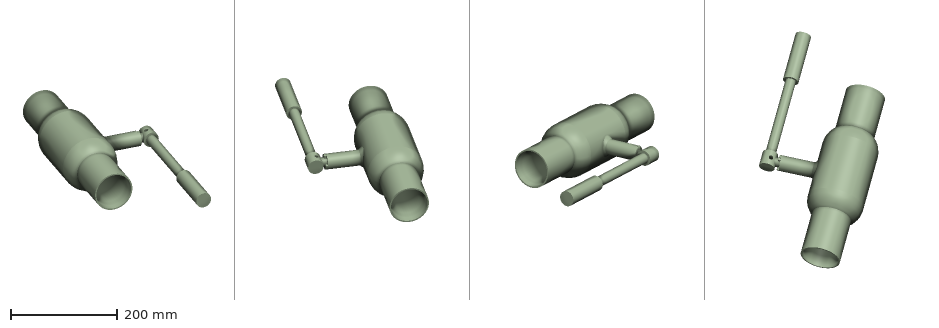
import cadquery as cq

pipe_length = 359.5
pipe_diameter = 76.0
bore_diameter = 70.5
body_diameter = 108.0
body_length = 180.5
barrel_length = 116.5
shoulder_length = (body_length - barrel_length) / 2
shoulder_drop = (body_diameter - pipe_diameter) / 2

housing_diameter = 30.0
housing_top = 124.5
collar_top = 57.5
collar_height = 13.5
collar_growth = 11.0
stem_diameter = 18.0
stop_notch_depth = 4.0
stop_overrun = 3.0
stop_pin_diameter = 5.0
stop_pin_reach = 14.5

overall_length = 455.0
overall_width = 213.0
head_diameter = 30.0
head_length = 30.0
rod_diameter = 20.0
grip_length = 99.5
grip_diameter = 30.0
head_hole_diameter = 8.0
head_hole_drop = 4.5

middle_x = pipe_length / 2
handle_y = overall_width - body_diameter / 2 - head_diameter / 2


def x_cylinder(diameter, start, length, y=0):
    return cq.Workplane("YZ", origin=(start, y, 0)).circle(diameter / 2).extrude(length)


def y_cylinder(diameter, start, end):
    return cq.Workplane("XZ", origin=(middle_x, start, 0)).circle(diameter / 2).extrude(start - end)


def make_body():
    """Barrel whose round shoulders run tangentially into it."""
    left = middle_x - body_length / 2
    right = left + body_length
    pipe_radius = pipe_diameter / 2
    body_radius = body_diameter / 2
    barrel_left = left + shoulder_length
    barrel_right = right - shoulder_length
    shoulder_radius = (shoulder_length**2 + shoulder_drop**2) / (2 * shoulder_drop)
    mid_run = shoulder_length / 2
    mid_radius = body_radius - shoulder_radius + (shoulder_radius**2 - mid_run**2) ** 0.5
    profile = (
        cq.Workplane("XY")
        .moveTo(left, 0)
        .lineTo(left, pipe_radius)
        .threePointArc((barrel_left - mid_run, mid_radius), (barrel_left, body_radius))
        .lineTo(barrel_right, body_radius)
        .threePointArc((barrel_right + mid_run, mid_radius), (right, pipe_radius))
        .lineTo(right, 0)
        .close()
    )
    return profile.revolve(360, (0, 0, 0), (1, 0, 0))


def make_housing():
    """Housing with a conical weld collar and a quarter-turn stop notch."""
    housing = y_cylinder(housing_diameter, 0, housing_top)
    radius = housing_diameter / 2
    collar = (
        cq.Workplane("XY", origin=(middle_x, 0, 0))
        .moveTo(0, collar_top)
        .lineTo(radius, collar_top)
        .lineTo(radius + collar_growth, collar_top - collar_height)
        .lineTo(0, collar_top - collar_height)
        .close()
        .revolve(360, (0, 0, 0), (0, 1, 0))
    )
    notch = cq.Workplane("XY").box(
        radius + stop_overrun, stop_notch_depth, radius, centered=False
    ).translate((middle_x - radius, housing_top - stop_notch_depth, 0))
    return housing.cut(notch).union(collar)


def make_stem():
    """Turning stem with a stop pin that sweeps along the notch."""
    stem = y_cylinder(stem_diameter, 0, handle_y)
    pin_y = housing_top - stop_notch_depth + stop_pin_diameter / 2
    pin = (
        cq.Workplane("XY", origin=(middle_x, pin_y, 0))
        .circle(stop_pin_diameter / 2)
        .extrude(stop_pin_reach)
    )
    return stem.union(pin)


def make_handle():
    """Head on the stem, with a cross hole, then the rod and its grip."""
    head_start = middle_x - head_length / 2
    grip_start = overall_length - grip_length
    head = x_cylinder(head_diameter, head_start, head_length, handle_y)
    rod = x_cylinder(rod_diameter, middle_x, grip_start - middle_x, handle_y)
    grip = x_cylinder(grip_diameter, grip_start, grip_length, handle_y)
    return head.union(rod).union(grip)


def make_head_hole():
    """Cutter for the hole through the head and the stem inside it."""
    return (
        cq.Workplane("XY", origin=(middle_x, handle_y - head_hole_drop, -head_diameter))
        .circle(head_hole_diameter / 2)
        .extrude(2 * head_diameter)
    )


bore = x_cylinder(bore_diameter, 0, pipe_length)

result = (
    x_cylinder(pipe_diameter, 0, pipe_length)
    .union(make_body())
    .union(make_housing())
    .union(make_stem())
    .union(make_handle())
    .cut(make_head_hole())
    .cut(bore)
)